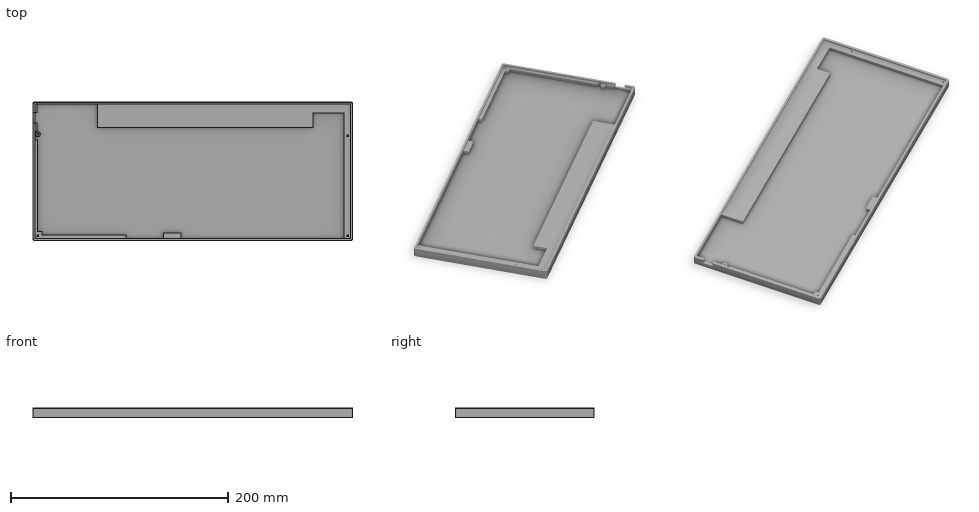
import cadquery as cq

LENGTH = 294.0
WIDTH = 127.5
HEIGHT = 8.7
WALL = 2.0
CORNER_RADIUS = WALL
FLOOR_TOP = 3.0
SHELF_TOP = 7.0

LEFT = -LENGTH / 2
RIGHT = LENGTH / 2
FRONT = -WIDTH / 2
BACK = WIDTH / 2

INNER_LEFT = LEFT + WALL
INNER_RIGHT = RIGHT - WALL
INNER_FRONT = FRONT + WALL
INNER_BACK = BACK - WALL

SHELF_START_X = LEFT + 59.3
SHELF_STEP_X = LEFT + 257.5
SHELF_RIGHT_X = RIGHT - 8.0
SHELF_DEEP_Y = BACK - 23.5
SHELF_SHALLOW_Y = BACK - 10.3

LEFT_LEDGE_X = LEFT + 4.4
LEFT_LEDGE_END_Y = BACK - 34.8
FRONT_LEDGE_Y = FRONT + 5.2
FRONT_LEDGE_END_X = LEFT + 85.7
PAD_SIZE = 8.5

REST_START_X = LEFT + 120.0
REST_LENGTH = 16.0
REST_Y = FRONT + 7.2

NOTCH_BACK_Y = BACK - 9.8
NOTCH_FRONT_Y = BACK - 19.2
NOTCH_BOTTOM = 4.7
CHEEK_X = LEFT + 3.7
CHEEK_END_Y = BACK - 26.6

HOLE_INSET = 4.5
HOLE_DIAMETER = 1.62
HOLE_BOTTOM = FLOOR_TOP
RIGHT_HOLE_Y = BACK - 31.0
BOSS_DIAMETER = 4.5
BOSS_X = LEFT + HOLE_INSET
BOSS_Y = BACK - 29.6

HOLE_CENTRES = [
    (LEFT + HOLE_INSET, FRONT + HOLE_INSET),
    (RIGHT - HOLE_INSET, FRONT + HOLE_INSET),
    (RIGHT - HOLE_INSET, RIGHT_HOLE_Y),
    (BOSS_X, BOSS_Y),
]


def block(x0, x1, y0, y1, z0, z1):
    """Box between two opposite corners."""
    return cq.Workplane("XY", origin=(x0, y0, z0)).box(x1 - x0, y1 - y0, z1 - z0, centered=False)


def raised_block(x0, x1, y0, y1):
    """Box standing in the tray and reaching the shelf height."""
    return block(x0, x1, y0, y1, 0, SHELF_TOP)


def make_tray():
    """Open tray with rounded outer corners and a sharp-cornered cavity."""
    outer = cq.Workplane("XY").box(LENGTH, WIDTH, HEIGHT, centered=(True, True, False))
    outer = outer.edges("|Z").fillet(CORNER_RADIUS)
    cavity = block(INNER_LEFT, INNER_RIGHT, INNER_FRONT, INNER_BACK, FLOOR_TOP, HEIGHT)
    return outer.cut(cavity)


def make_shelf():
    """Stepped arm along the back wall joined to a strip along the right wall."""
    outline = [
        (SHELF_START_X, INNER_BACK),
        (SHELF_START_X, SHELF_DEEP_Y),
        (SHELF_STEP_X, SHELF_DEEP_Y),
        (SHELF_STEP_X, SHELF_SHALLOW_Y),
        (SHELF_RIGHT_X, SHELF_SHALLOW_Y),
        (SHELF_RIGHT_X, INNER_FRONT),
        (INNER_RIGHT, INNER_FRONT),
        (INNER_RIGHT, INNER_BACK),
    ]
    return cq.Workplane("XY").polyline(outline).close().extrude(SHELF_TOP)


def make_ledges():
    """Left and front ledges with the pad where they meet."""
    left = raised_block(INNER_LEFT, LEFT_LEDGE_X, INNER_FRONT, LEFT_LEDGE_END_Y)
    front = raised_block(INNER_LEFT, FRONT_LEDGE_END_X, INNER_FRONT, FRONT_LEDGE_Y)
    pad = raised_block(INNER_LEFT, LEFT + PAD_SIZE, INNER_FRONT, FRONT + PAD_SIZE)
    return left.union(front).union(pad)


def make_rest():
    """Small block against the front wall."""
    return raised_block(REST_START_X, REST_START_X + REST_LENGTH, INNER_FRONT, REST_Y)


def make_cheeks():
    """Wall thickenings behind and in front of the notch."""
    back_cheek = raised_block(INNER_LEFT, CHEEK_X, NOTCH_BACK_Y, INNER_BACK)
    front_cheek = raised_block(INNER_LEFT, CHEEK_X, CHEEK_END_Y, NOTCH_FRONT_Y)
    return back_cheek.union(front_cheek)


def make_boss():
    """Round screw boss beside the left wall."""
    return cq.Workplane("XY", origin=(BOSS_X, BOSS_Y, 0)).circle(BOSS_DIAMETER / 2).extrude(SHELF_TOP)


def make_notch():
    """Cutter for the opening in the left wall."""
    return block(LEFT, INNER_LEFT, NOTCH_FRONT_Y, NOTCH_BACK_Y, NOTCH_BOTTOM, HEIGHT)


def make_holes():
    """Cutter for the blind screw holes."""
    plane = cq.Workplane("XY", origin=(0, 0, HOLE_BOTTOM))
    return plane.pushPoints(HOLE_CENTRES).circle(HOLE_DIAMETER / 2).extrude(SHELF_TOP - HOLE_BOTTOM)


result = make_tray()
for raised_feature in (make_shelf(), make_ledges(), make_rest(), make_cheeks(), make_boss()):
    result = result.union(raised_feature)
result = result.cut(make_notch()).cut(make_holes())